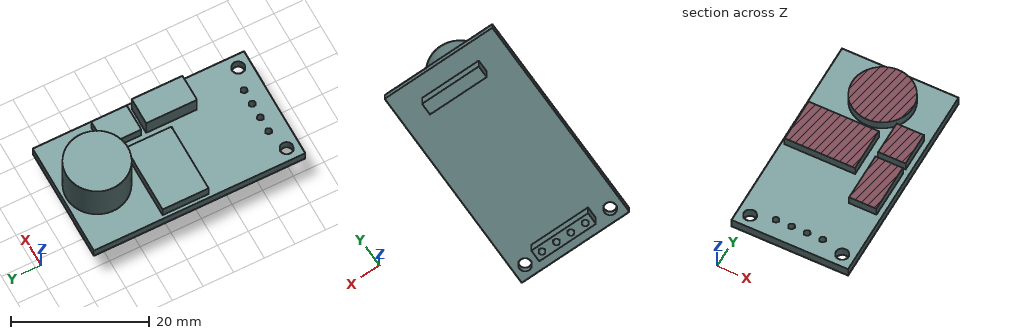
import cadquery as cq

board_width = 19.0
board_length = 34.5
board_thickness = 1.6
center_x = board_width / 2

mount_hole_diameter = 2.0
mount_hole_inset = 2.0
pin_hole_diameter = 1.0
pin_count = 4
pin_pitch = 2.54
pin_row_y = 3.0

header_length = 10.0
header_width = 2.0
header_height = 2.5
rear_header_inset = 4.0
rear_header_y = board_length - rear_header_inset

overall_height = 11.0
can_diameter = 10.0
can_height = overall_height - board_thickness - header_height
can_rear_gap = 0.5
can_y = board_length - can_rear_gap - can_diameter / 2

chip_left = 0.55
chip_front = 15.5
chip_width = 11.5
chip_length = 7.5
low_component_height = 1.7

side_column_left = 13.65
side_column_width = 4.5
connector_front = 10.5
connector_length = 8.3
connector_height = 2.9
side_block_front = 19.6
side_block_length = 5.8


def box_at(left, front, bottom, width, length, height):
    """Box placed by its left, front, bottom corner."""
    return cq.Workplane("XY").box(width, length, height, centered=False).translate((left, front, bottom))


def header_strip(y):
    """Header strip under the board, centered across it at the given y."""
    return box_at(
        center_x - header_length / 2,
        y - header_width / 2,
        -board_thickness - header_height,
        header_length,
        header_width,
        header_height,
    )


def through_holes(points, diameter):
    """Vertical cutters from the underside of the headers to the board's top face."""
    depth = board_thickness + header_height
    return cq.Workplane("XY").pushPoints(points).circle(diameter / 2).extrude(-depth)


board = box_at(0, 0, -board_thickness, board_width, board_length, board_thickness)
can = cq.Workplane("XY").center(center_x, can_y).circle(can_diameter / 2).extrude(can_height)
chip = box_at(chip_left, chip_front, 0, chip_width, chip_length, low_component_height)
connector = box_at(
    side_column_left, connector_front, 0, side_column_width, connector_length, connector_height
)
side_block = box_at(
    side_column_left, side_block_front, 0, side_column_width, side_block_length, low_component_height
)

result = board
for component in (can, chip, connector, side_block):
    result = result.union(component)
for header_y in (pin_row_y, rear_header_y):
    result = result.union(header_strip(header_y))

mount_points = [(x, mount_hole_inset) for x in (mount_hole_inset, board_width - mount_hole_inset)]
pin_points = [(center_x + (i - (pin_count - 1) / 2) * pin_pitch, pin_row_y) for i in range(pin_count)]
result = result.cut(through_holes(mount_points, mount_hole_diameter))
result = result.cut(through_holes(pin_points, pin_hole_diameter))